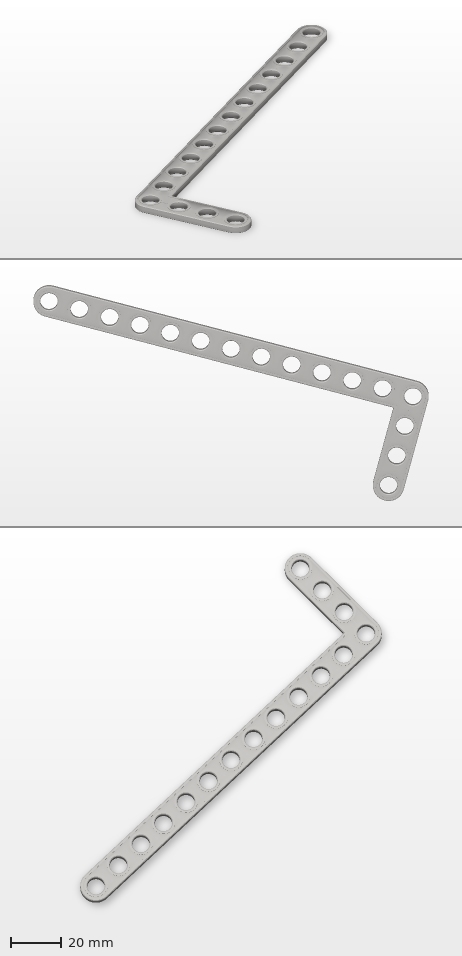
import cadquery as cq

length = 162.5
long_arm_holes = 13
short_arm_holes = 4
hole_diameter = 7.0
collar_diameter = 9.3
rim_width = 1.1
edge_chamfer = 0.3
recess_depth = 0.2
bridge_width = 0.3

pitch = length / long_arm_holes
thickness = pitch / 4
long_span = (long_arm_holes - 1) * pitch
short_span = (short_arm_holes - 1) * pitch

long_arm_centers = [(0, i * pitch) for i in range(long_arm_holes)]
short_arm_centers = [(i * pitch, 0) for i in range(1, short_arm_holes)]
hole_centers = long_arm_centers + short_arm_centers


def arm(span, width, height, angle):
    """Round-ended bar starting at the corner hole and turned to the given direction."""
    bar = cq.Workplane("XY").center(span / 2, 0).slot2D(span + width, width).extrude(height)
    return bar.rotate((0, 0, 0), (0, 0, 1), angle)


def l_plate(inset, height):
    """L-shaped plate on Z = 0 whose outline is moved inward by the inset."""
    width = pitch - 2 * inset
    short_arm = arm(short_span, width, height, 0)
    long_arm = arm(long_span, width, height, 90)
    return short_arm.union(long_arm).clean()


def recess_cutter():
    """Shallow field inside the rim that leaves the collars and the bridge standing."""
    collars = cq.Workplane("XY").pushPoints(hole_centers).circle(collar_diameter / 2).extrude(recess_depth)
    bridge = cq.Workplane("XY").center(pitch / 2, 0).rect(pitch, bridge_width).extrude(recess_depth)
    return l_plate(rim_width, recess_depth).cut(collars).cut(bridge)


def hole_cutter():
    """Through hole with a small 45 degree chamfer at both ends."""
    hole_radius = hole_diameter / 2
    mouth_radius = hole_radius + edge_chamfer
    return (
        cq.Workplane("XZ")
        .lineTo(mouth_radius, 0)
        .lineTo(hole_radius, edge_chamfer)
        .lineTo(hole_radius, thickness - edge_chamfer)
        .lineTo(mouth_radius, thickness)
        .lineTo(0, thickness)
        .close()
        .revolve(360, (0, 0, 0), (0, 1, 0))
    )


plate = l_plate(0, thickness).faces("|Z").edges().chamfer(edge_chamfer)

recess = recess_cutter()
for recess_base in (0, thickness - recess_depth):
    plate = plate.cut(recess.translate((0, 0, recess_base)))

hole = hole_cutter()
for x, y in hole_centers:
    plate = plate.cut(hole.translate((x, y, 0)))

result = plate